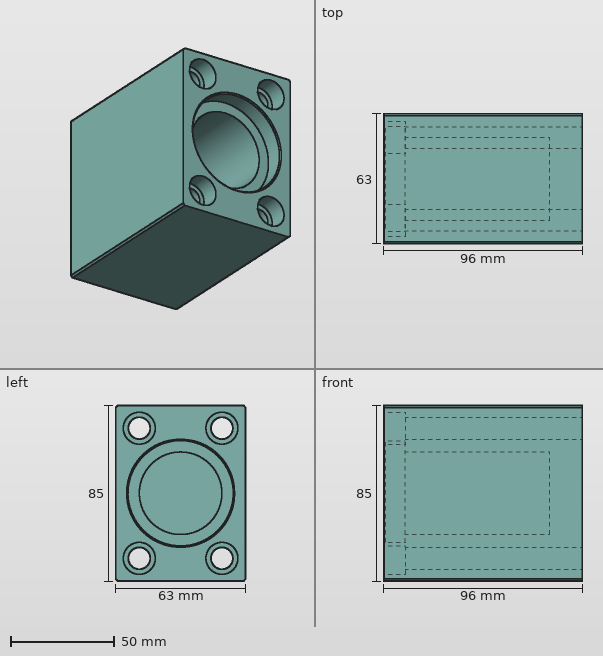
import cadquery as cq

length = 96.0
width = 63.0
height = 85.0
edge_chamfer = 1.0

bore_diameter = 40.0
bore_depth = 80.0
recess_diameter = 51.0
recess_depth = 10.0
mouth_chamfer = 0.65

bolt_spacing_y = 40.0
bolt_spacing_z = 63.0
bolt_hole_diameter = 10.5
counterbore_diameter = 15.5
counterbore_depth = 10.2

front_x = -length / 2


def cylinder_from_front(diameter, depth, y=0.0, z=0.0):
    """Cylinder along +X that starts on the -X face at the given Y and Z."""
    start = cq.Vector(front_x, y, z)
    return cq.Workplane(cq.Solid.makeCylinder(diameter / 2, depth, start, cq.Vector(1, 0, 0)))


def make_block():
    """Block with its four long edges chamfered."""
    return cq.Workplane("XY").box(length, width, height).edges("|X").chamfer(edge_chamfer)


def make_stepped_bore():
    """Blind bore with a wider recess and a chamfered mouth."""
    mouth_radius = recess_diameter / 2 + mouth_chamfer
    mouth = cq.Solid.makeCone(
        mouth_radius,
        recess_diameter / 2,
        mouth_chamfer,
        cq.Vector(front_x, 0, 0),
        cq.Vector(1, 0, 0),
    )
    bore = cylinder_from_front(bore_diameter, bore_depth)
    recess = cylinder_from_front(recess_diameter, recess_depth)
    return bore.union(recess).union(cq.Workplane(mouth))


def make_bolt_hole(y, z):
    """Through hole with a counterbore on the -X face."""
    through = cylinder_from_front(bolt_hole_diameter, length, y, z)
    counterbore = cylinder_from_front(counterbore_diameter, counterbore_depth, y, z)
    return through.union(counterbore)


result = make_block().cut(make_stepped_bore())
for y in (-bolt_spacing_y / 2, bolt_spacing_y / 2):
    for z in (-bolt_spacing_z / 2, bolt_spacing_z / 2):
        result = result.cut(make_bolt_hole(y, z))